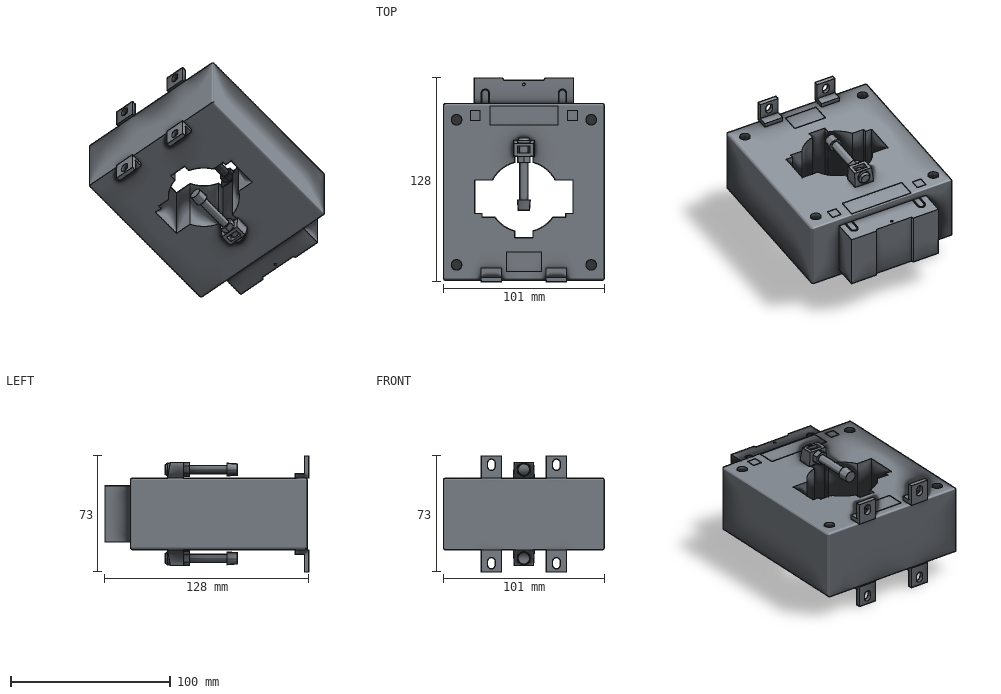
import cadquery as cq
import math


HOUSING_WIDTH = 101.0
HOUSING_BACK = 58.5
HOUSING_FRONT = -52.5
HOUSING_HEIGHT = 45.0
HOUSING_TOP = HOUSING_HEIGHT / 2
EDGE_RADIUS = 1.4

BORE_RADIUS = 22.25
UPRIGHT_SLOT_WIDTH = 11.2
UPRIGHT_SLOT_LENGTH = 51.5
WIDE_SLOT_WIDTH = 61.4
WIDE_SLOT_HEIGHT = 20.8
STEP_SLOT_WIDTH = 52.4
STEP_SLOT_BOTTOM = -12.75

CORNER_HOLE_DIAMETER = 6.6
CORNER_HOLE_DEPTH = 10.0
CORNER_HOLE_X = 42.25
CORNER_HOLE_BACK_Y = 48.25
CORNER_HOLE_FRONT_Y = -42.8

LABEL_DEPTH = 0.2
LABELS = [
    (0.0, 51.0, 42.7, 12.0),
    (0.0, -40.75, 22.0, 12.1),
    (-30.5, 51.0, 6.1, 6.4),
    (30.5, 51.0, 6.1, 6.4),
]

BLOCK_HEIGHT = 9.85
BLOCK_BASE_WIDTH = 13.3
BLOCK_TOP_WIDTH = 12.2
BLOCK_FRONT = 25.3
BLOCK_BASE_BACK = 35.2
BLOCK_TOP_BACK = 33.45
WINDOW_WIDTH = 7.8
WINDOW_FRONT = 27.5
WINDOW_BACK = 31.7
NUT_FLATS = 7.8
NUT_CORNERS = NUT_FLATS / math.cos(math.pi / 6)
NUT_LENGTH = 3.95
SCREW_HEIGHT = BLOCK_HEIGHT - NUT_CORNERS / 2
SCREW_DIAMETER = 5.3
TIP_BACK = -2.0
TIP_LENGTH = 6.6
TIP_BACK_DIAMETER = 8.1
TIP_FRONT_DIAMETER = 7.2
HEAD_DIAMETER = 8.1
HEAD_BACK = 36.7
HEAD_LENGTH = 3.6
HEAD_CHAMFER_LENGTH = 1.5
HEAD_CHAMFER_RADIAL = 1.1

COVER_WIDTH = 62.4
COVER_DEPTH = 16.0
COVER_HEIGHT = 35.5
COVER_BACK = HOUSING_BACK + COVER_DEPTH
NOTCH_DEPTH = 1.4
NOTCH_OUTER_WIDTH = 26.6
NOTCH_INNER_WIDTH = 25.0
SEAL_HOLE_DIAMETER = 1.5
SEAL_HOLE_INSET = 4.0
GROOVE_X = 24.2
GROOVE_OUTER_WIDTH = 5.2
GROOVE_WIDTH = 0.5
GROOVE_DEPTH = 0.5
GROOVE_LENGTH = 9.0

FOOT_X = 20.4
FOOT_WIDTH = 12.8
FOOT_HEIGHT = 14.0
FOOT_LENGTH = 8.6
FOOT_THICKNESS = 2.8
FOOT_FRONT = HOUSING_FRONT - 1.0
FOOT_SLOT_WIDTH = 4.7
FOOT_SLOT_LENGTH = 6.9
FOOT_SLOT_FROM_END = 5.6


def block_between(x_range, y_range, z_range):
    """Box spanning the given (low, high) ranges."""
    size = [high - low for low, high in (x_range, y_range, z_range)]
    corner = (x_range[0], y_range[0], z_range[0])
    return cq.Workplane("XY").box(*size, centered=False).translate(corner)


def make_case():
    """Rounded box; its bottom front edge stays sharp."""
    half_width = HOUSING_WIDTH / 2
    case = block_between(
        (-half_width, half_width), (HOUSING_FRONT, HOUSING_BACK), (-HOUSING_TOP, HOUSING_TOP)
    )
    bottom_front = cq.selectors.NearestToPointSelector((0, HOUSING_FRONT, -HOUSING_TOP))
    rounded_edges = cq.selectors.SubtractSelector(cq.StringSyntaxSelector("|X or |Y or |Z"), bottom_front)
    return case.edges(rounded_edges).fillet(EDGE_RADIUS)


def make_busbar_opening():
    base = cq.Workplane("XY").workplane(offset=-HOUSING_TOP)
    opening = base.circle(BORE_RADIUS).extrude(HOUSING_HEIGHT)
    step_center = STEP_SLOT_BOTTOM / 2
    slots = [
        (0, UPRIGHT_SLOT_WIDTH, UPRIGHT_SLOT_LENGTH),
        (0, WIDE_SLOT_WIDTH, WIDE_SLOT_HEIGHT),
        (step_center, STEP_SLOT_WIDTH, -STEP_SLOT_BOTTOM),
    ]
    for center_y, width, height in slots:
        opening = opening.union(base.center(0, center_y).rect(width, height).extrude(HOUSING_HEIGHT))
    return opening


def make_corner_holes():
    points = [
        (x, y)
        for x in (-CORNER_HOLE_X, CORNER_HOLE_X)
        for y in (CORNER_HOLE_FRONT_Y, CORNER_HOLE_BACK_Y)
    ]
    top = cq.Workplane("XY").workplane(offset=HOUSING_TOP)
    return top.pushPoints(points).circle(CORNER_HOLE_DIAMETER / 2).extrude(-CORNER_HOLE_DEPTH)


def make_clamp_block():
    """Block with drafted sides, a sloping back and a window from above."""
    side_view = (
        cq.Workplane("YZ")
        .polyline([
            (BLOCK_FRONT, HOUSING_TOP),
            (BLOCK_BASE_BACK, HOUSING_TOP),
            (BLOCK_TOP_BACK, HOUSING_TOP + BLOCK_HEIGHT),
            (BLOCK_FRONT, HOUSING_TOP + BLOCK_HEIGHT),
        ])
        .close()
        .extrude(BLOCK_BASE_WIDTH / 2, both=True)
    )
    front_view = (
        cq.Workplane("XZ", origin=(0, BLOCK_BASE_BACK, HOUSING_TOP))
        .polyline([
            (-BLOCK_BASE_WIDTH / 2, 0),
            (BLOCK_BASE_WIDTH / 2, 0),
            (BLOCK_TOP_WIDTH / 2, BLOCK_HEIGHT),
            (-BLOCK_TOP_WIDTH / 2, BLOCK_HEIGHT),
        ])
        .close()
        .extrude(BLOCK_BASE_BACK - BLOCK_FRONT)
    )
    window = block_between(
        (-WINDOW_WIDTH / 2, WINDOW_WIDTH / 2),
        (WINDOW_FRONT, WINDOW_BACK),
        (HOUSING_TOP, HOUSING_TOP + BLOCK_HEIGHT),
    )
    return side_view.intersect(front_view).cut(window)


def make_clamp_screw():
    """Screw with a chamfered head behind the block, a hexagon nut and a tapered tip."""
    turned = (
        cq.Workplane("XY")
        .moveTo(0, HEAD_BACK)
        .lineTo(HEAD_DIAMETER / 2 - HEAD_CHAMFER_RADIAL, HEAD_BACK)
        .lineTo(HEAD_DIAMETER / 2, HEAD_BACK - HEAD_CHAMFER_LENGTH)
        .lineTo(HEAD_DIAMETER / 2, HEAD_BACK - HEAD_LENGTH)
        .lineTo(SCREW_DIAMETER / 2, HEAD_BACK - HEAD_LENGTH)
        .lineTo(SCREW_DIAMETER / 2, TIP_BACK)
        .lineTo(TIP_BACK_DIAMETER / 2, TIP_BACK)
        .lineTo(TIP_FRONT_DIAMETER / 2, TIP_BACK - TIP_LENGTH)
        .lineTo(0, TIP_BACK - TIP_LENGTH)
        .close()
        .revolve(360, (0, 0, 0), (0, 1, 0))
    )
    nut = (
        cq.Workplane("XZ", origin=(0, BLOCK_FRONT, 0))
        .transformed(rotate=(0, 0, 30))
        .polygon(6, NUT_CORNERS)
        .extrude(NUT_LENGTH)
    )
    return turned.union(nut).translate((0, 0, HOUSING_TOP + SCREW_HEIGHT))


def make_housing():
    body = make_case().cut(make_busbar_opening()).cut(make_corner_holes())
    for x, y, width, height in LABELS:
        top = cq.Workplane("XY", origin=(x, y, HOUSING_TOP))
        body = body.cut(top.rect(width, height).extrude(-LABEL_DEPTH))
    clamp = make_clamp_block().union(make_clamp_screw())
    return body.union(clamp).union(clamp.mirror("XY"))


def make_groove():
    """Narrow arched groove, open towards the housing, in the top face of the cover."""
    top = cq.Workplane("XY", origin=(0, HOUSING_BACK, COVER_HEIGHT / 2))

    def arch(width, length):
        radius = width / 2
        return (
            top.moveTo(-radius, 0)
            .lineTo(-radius, length - radius)
            .threePointArc((0, length), (radius, length - radius))
            .lineTo(radius, 0)
            .close()
            .extrude(-GROOVE_DEPTH)
        )

    inner = arch(GROOVE_OUTER_WIDTH - 2 * GROOVE_WIDTH, GROOVE_LENGTH - GROOVE_WIDTH)
    return arch(GROOVE_OUTER_WIDTH, GROOVE_LENGTH).cut(inner)


def make_cover():
    cover = (
        cq.Workplane("XY")
        .polyline([
            (-COVER_WIDTH / 2, HOUSING_BACK),
            (COVER_WIDTH / 2, HOUSING_BACK),
            (COVER_WIDTH / 2, COVER_BACK),
            (NOTCH_OUTER_WIDTH / 2, COVER_BACK),
            (NOTCH_INNER_WIDTH / 2, COVER_BACK - NOTCH_DEPTH),
            (-NOTCH_INNER_WIDTH / 2, COVER_BACK - NOTCH_DEPTH),
            (-NOTCH_OUTER_WIDTH / 2, COVER_BACK),
            (-COVER_WIDTH / 2, COVER_BACK),
        ])
        .close()
        .extrude(COVER_HEIGHT / 2, both=True)
    )
    seal_hole = (
        cq.Workplane("XY", origin=(0, COVER_BACK - SEAL_HOLE_INSET, 0))
        .circle(SEAL_HOLE_DIAMETER / 2)
        .extrude(COVER_HEIGHT / 2, both=True)
    )
    cover = cover.cut(seal_hole)
    for x in (-GROOVE_X, GROOVE_X):
        cover = cover.cut(make_groove().translate((x, 0, 0)))
    return cover


def make_foot(x):
    """L-shaped foot resting on the top face, with an upright slot in its leg."""
    half_width = FOOT_WIDTH / 2
    span = (x - half_width, x + half_width)
    tip = HOUSING_TOP + FOOT_HEIGHT
    pad = block_between(
        span, (FOOT_FRONT, FOOT_FRONT + FOOT_LENGTH), (HOUSING_TOP, HOUSING_TOP + FOOT_THICKNESS)
    )
    leg = block_between(span, (FOOT_FRONT, FOOT_FRONT + FOOT_THICKNESS), (HOUSING_TOP, tip))
    slot = (
        cq.Workplane("XZ", origin=(x, FOOT_FRONT, tip - FOOT_SLOT_FROM_END))
        .slot2D(FOOT_SLOT_LENGTH, FOOT_SLOT_WIDTH, 90)
        .extrude(-FOOT_THICKNESS)
    )
    return pad.union(leg).cut(slot)


housing = make_housing()
cover = make_cover()
feet = []
for foot_x in (-FOOT_X, FOOT_X):
    foot = make_foot(foot_x)
    feet.append(foot.val())
    feet.append(foot.mirror("XY").val())

result = cq.Compound.makeCompound([housing.val(), cover.val(), *feet])